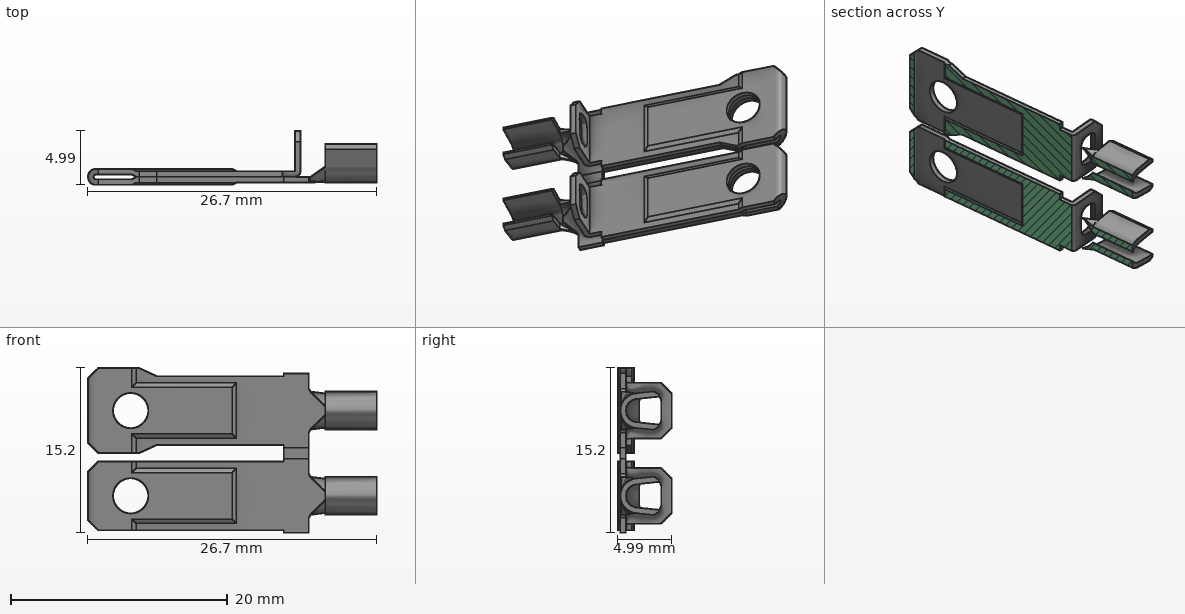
import cadquery as cq
import math


sheet = 0.53
leaf_gap = 0.013
emboss = 0.21
bulge_half = sheet + emboss
pitch = 7.87

neck_half = 6.37 / 2
head_half = 7.87 / 2
flare_start = 4.72
flare_end = 6.35
nose_chamfer = 0.95
hole_x = 3.95
hole_diameter = 3.23

bulge_end = 4.05
ramp_run = 0.4
panel_end = 13.7
panel_width = 5.1
ramp_taper = math.degrees(math.atan2(ramp_run, emboss))

shoulder_start = 18.05
shoulder_end = 20.4
shoulder_half = 6.85 / 2

tab_neck_start = 17.95
tab_outer_x = 19.63
tab_width = 5.17
tab_height = 4.25
tab_chamfer = 1.01
tab_hole_y = 2.25
tab_hole_width = 2.03
tab_hole_height = 3.15
tab_hole_radius = 0.8

barrel_start = 21.9
barrel_end = 26.67
barrel_radius = 1.6
inner_radius = barrel_radius - sheet
barrel_axis_y = barrel_radius - sheet
wall_splay = 6.0
wall_outer_top_y = 2.55
wall_tip_y = 3.05
wall_tip_width = 0.21

root_length = 0.13
throat_start = shoulder_end + root_length
root_half = 2.03
throat_half = 1.75
crease_half = 1.73
crease_angle = 15.0


def blade_outline(half_width):
    """Plan of the whole blade in (X, Z): chamfered nose, head and neck."""
    half = [
        (0, half_width - nose_chamfer),
        (nose_chamfer, half_width),
    ]
    if half_width > neck_half:
        half += [(flare_start, half_width), (flare_end, neck_half)]
    half.append((shoulder_start, neck_half))
    lower = [(x, -z) for x, z in reversed(half)]
    return cq.Workplane("XZ").polyline(half + lower).close().extrude(bulge_half, both=True)


def nose_tongue(inset):
    """Round-nosed bulge that tapers to an edge on the seam, inset from the outer surface."""
    radius = bulge_half - inset
    apex = bulge_end + radius * ramp_run / emboss
    return (
        cq.Workplane("XY")
        .moveTo(bulge_half, radius)
        .threePointArc((inset, 0), (bulge_half, -radius))
        .lineTo(bulge_end, -radius)
        .lineTo(apex, 0)
        .lineTo(bulge_end, radius)
        .close()
        .extrude(head_half, both=True)
    )


def panel_pads(foot_y):
    """Pair of ramp-sided panels, rising from foot_y on the front and the back."""
    panel_start = bulge_end - 2 * ramp_run
    front = (
        cq.Workplane("XZ", origin=((panel_start + panel_end) / 2, -foot_y, 0))
        .rect(panel_end - panel_start, panel_width)
        .extrude(emboss, taper=ramp_taper)
    )
    return front.union(front.mirror("XZ"))


def make_blade(half_width):
    """Folded double sheet with pressed-out nose and panels, hollow behind them."""
    leaves = cq.Workplane("XY").box(
        shoulder_start - bulge_half, 2 * sheet, 2 * head_half, centered=(False, True, True)
    ).translate((bulge_half, 0, 0))
    solid = leaves.union(nose_tongue(0)).union(panel_pads(sheet))
    hollow = nose_tongue(sheet).union(panel_pads(0))
    back_leaf_cut = cq.Workplane("XY").box(
        shoulder_start - tab_neck_start, sheet, 2 * head_half, centered=(False, False, True)
    ).translate((tab_neck_start, 0, 0))
    hole = (
        cq.Workplane("XZ")
        .center(hole_x, 0)
        .circle(hole_diameter / 2)
        .extrude(bulge_half, both=True)
    )
    return solid.cut(hollow).intersect(blade_outline(half_width)).cut(back_leaf_cut).cut(hole)


def make_shoulder():
    """Wide end of the front leaf."""
    return cq.Workplane("XY").box(
        shoulder_end - shoulder_start, sheet, 2 * shoulder_half, centered=(False, False, True)
    ).translate((shoulder_start, -sheet, 0))


def make_tab():
    """End of the back leaf, bent square towards +Y, with a rounded window."""
    tab_inner_x = tab_outer_x - sheet
    bent_strip = (
        cq.Workplane("XY")
        .moveTo(tab_neck_start, 0)
        .lineTo(tab_inner_x, 0)
        .radiusArc((tab_outer_x, sheet), -sheet)
        .lineTo(tab_outer_x, tab_height)
        .lineTo(tab_inner_x, tab_height)
        .lineTo(tab_inner_x, sheet)
        .lineTo(tab_neck_start, sheet)
        .close()
        .extrude(tab_width / 2, both=True)
    )
    bent_strip = bent_strip.faces(">Y").edges("|X").chamfer(tab_chamfer)
    window = (
        cq.Workplane("YZ", origin=(tab_inner_x, tab_hole_y, 0))
        .rect(tab_hole_width, tab_hole_height)
        .extrude(sheet)
        .edges("|X")
        .fillet(tab_hole_radius)
    )
    return bent_strip.cut(window)


def on_barrel(radius, side):
    """Point (Y, Z) where the round bottom of that radius runs into the wall on one side."""
    splay = math.radians(wall_splay)
    return (barrel_axis_y - radius * math.sin(splay), side * radius * math.cos(splay))


def on_wall(radius, y, side):
    """Point (Y, Z) at height y on the splayed wall tangent to the round bottom."""
    foot_y, foot_z = on_barrel(radius, 1)
    return (y, side * (foot_z + (y - foot_y) * math.tan(math.radians(wall_splay))))


def on_crease(radius):
    """Point (Y, Z) where the throat crease reaches the round bottom of that radius."""
    angle = math.radians(crease_angle)
    return (barrel_axis_y - radius * math.cos(angle), radius * math.sin(angle))


def make_barrel():
    """Open U-shaped barrel whose walls end in a bevel on the outside."""
    inner_tip_z = on_wall(inner_radius, wall_tip_y, 1)[1]
    outer_tip_z = inner_tip_z + wall_tip_width
    outer_bottom = (barrel_axis_y - barrel_radius, 0)
    inner_bottom = (barrel_axis_y - inner_radius, 0)
    return (
        cq.Workplane("YZ", origin=(barrel_start, 0, 0))
        .moveTo(wall_tip_y, inner_tip_z)
        .lineTo(wall_tip_y, outer_tip_z)
        .lineTo(*on_wall(barrel_radius, wall_outer_top_y, 1))
        .lineTo(*on_barrel(barrel_radius, 1))
        .threePointArc(outer_bottom, on_barrel(barrel_radius, -1))
        .lineTo(*on_wall(barrel_radius, wall_outer_top_y, -1))
        .lineTo(wall_tip_y, -outer_tip_z)
        .lineTo(wall_tip_y, -inner_tip_z)
        .lineTo(*on_barrel(inner_radius, -1))
        .threePointArc(inner_bottom, on_barrel(inner_radius, 1))
        .close()
        .extrude(barrel_end - barrel_start)
    )


def make_throat_root():
    """Short flat stretch that narrows from the shoulder to the throat."""
    return (
        cq.Workplane("XZ")
        .moveTo(shoulder_end, -root_half)
        .lineTo(throat_start, -throat_half)
        .lineTo(throat_start, throat_half)
        .lineTo(shoulder_end, root_half)
        .close()
        .extrude(sheet)
    )


def make_throat():
    """Transition from flat sheet to round barrel bottom.

    A flat middle is creased against a rolled flank on each side.
    """
    length = barrel_start - throat_start
    outer_y, outer_z = on_crease(barrel_radius)
    inner_y, inner_z = on_crease(inner_radius)
    middle = (
        cq.Workplane("YZ", origin=(throat_start, 0, 0))
        .polyline([(0, -crease_half), (0, crease_half), (-sheet, crease_half), (-sheet, -crease_half)])
        .close()
        .workplane(offset=length)
        .polyline([(inner_y, -inner_z), (inner_y, inner_z), (outer_y, outer_z), (outer_y, -outer_z)])
        .close()
        .loft(ruled=True)
    )
    flank = (
        cq.Workplane("YZ", origin=(throat_start, 0, 0))
        .polyline([(0, crease_half), (0, throat_half), (-sheet, throat_half), (-sheet, crease_half)])
        .close()
        .workplane(offset=length)
        .moveTo(inner_y, inner_z)
        .radiusArc(on_barrel(inner_radius, 1), inner_radius)
        .lineTo(*on_barrel(barrel_radius, 1))
        .radiusArc((outer_y, outer_z), -barrel_radius)
        .close()
        .loft(ruled=True)
    )
    return middle.union(flank).union(flank.mirror("XY"))


def make_seam():
    """Hairline slit that keeps the leaves apart from the nose hollow to the tab."""
    return cq.Workplane("XY").box(
        tab_outer_x - hole_x, leaf_gap, 2 * head_half, centered=(False, False, True)
    ).translate((hole_x, 0, 0))


def make_terminal(half_width, z):
    """One complete terminal with its hole axis at height z."""
    terminal = make_blade(half_width)
    for section in (make_shoulder(), make_tab(), make_throat_root(), make_throat(), make_barrel()):
        terminal = terminal.union(section)
    terminal = terminal.cut(make_seam())
    return terminal.translate((0, 0, z))


def make_bridge():
    """Carrier web that fills the gap between the two shoulders."""
    return cq.Workplane("XY").box(
        shoulder_end - shoulder_start, sheet, pitch - 2 * shoulder_half, centered=False
    ).translate((shoulder_start, -sheet, shoulder_half))


terminals = [
    make_terminal(half_width, index * pitch)
    for index, half_width in enumerate((neck_half, head_half))
]
bridge = make_bridge()

result = cq.Compound.makeCompound([terminal.val() for terminal in terminals] + [bridge.val()])